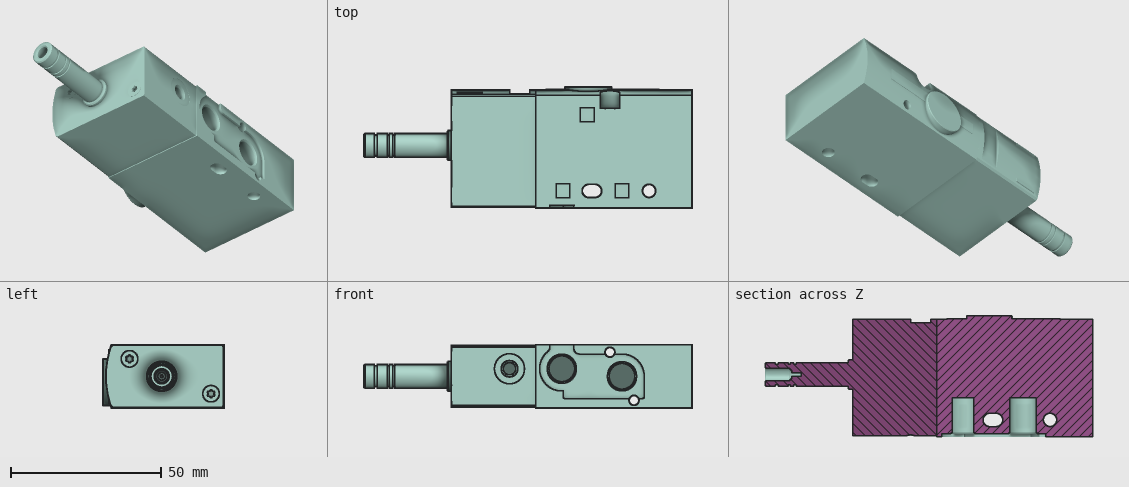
import cadquery as cq
import math


BODY_LENGTH = 52.0
BODY_HEIGHT = 21.1
BACK_CORNER_Y = 37.5
BACK_CROWN_Y = 39.31
BACK_SAGITTA = BACK_CROWN_Y - BACK_CORNER_Y
BACK_RADIUS = ((BODY_HEIGHT / 2) ** 2 + BACK_SAGITTA**2) / (2 * BACK_SAGITTA)

BOSS_DIAMETER = 15.6
BOSS_END_Y = 40.4
BOSS_X = 17.5
BOSS_Z = -2.0
BOSS_CHAMFER = 0.2

STRIP_START_X = 3.5
STRIP_LENGTH = 37.5
STRIP_HALF_HEIGHT = 2.3
STRIP_Y = 39.42

PORT_DIAMETER = 8.57
PORT_MOUTH_DIAMETER = 9.7
PORT_DEPTH = 12.0
LEFT_PORT_X = 8.7
PORT_SPACING = 20.0
RIGHT_PORT_X = LEFT_PORT_X + PORT_SPACING
LEFT_PORT_Z = 2.5
RIGHT_PORT_Z = 0.0

RECESS_DEPTH = 1.0
RECESS_RADIUS = 7.4
RECESS_TAB_WIDTH = 8.0
RECESS_STEP_X = LEFT_PORT_X + 0.4
RECESS_TAB_FILLET = 1.8
RECESS_CORNER_FILLET = 0.6

FLANGE_HOLE_DIAMETER = 3.2
FLANGE_HOLE_Z = 8.0
UPPER_HOLE_X = 24.7
LOWER_HOLE_X = UPPER_HOLE_X + 8.0
SEAT_WIDTH = 6.4
SEAT_Y = 33.1

MOUNT_DIAMETER = 4.3
MOUNT_Y = 5.7
MOUNT_SLOT_LENGTH = 6.4
MOUNT_SLOT_X = 18.7
MOUNT_HOLE_X = MOUNT_SLOT_X + 19.0

LABEL_SIZE = 4.6
LABEL_DEPTH = 0.1
LABEL_CENTRES = [(9.1, MOUNT_Y), (28.7, MOUNT_Y), (17.2, 31.0)]

HOUSING_LENGTH = 28.0
HOUSING_INSET = 0.3
HOUSING_TOP_Z = BODY_HEIGHT / 2 - HOUSING_INSET
HOUSING_CHAMFER_Z = 0.6
FRONT_CHAMFER_Y = 0.25
TOP_END_Y = 37.1

GROOVE_FLOOR_Y = 38.0
GROOVE_START_X = -8.6
GROOVE_WIDTH = 6.6

PAD_START_X = -26.0
PAD_LENGTH = 8.2
PAD_HALF_HEIGHT = 8.9
PAD_Y = 38.42

PILOT_PORT_X = -8.7
PILOT_PORT_Z = LEFT_PORT_Z
PILOT_PORT_DIAMETER = 4.13
PILOT_PORT_MOUTH_DIAMETER = 5.5
PILOT_PORT_DEPTH = 6.0
SPOT_FACE_DIAMETER = 10.0
SPOT_FACE_DEPTH = 0.1

TUBE_Y = 20.8
TUBE_LENGTH = 29.1
TUBE_DIAMETER = 8.0
TUBE_TIP_CHAMFER = 0.4
TUBE_GROOVE_DIAMETER = 7.1
TUBE_GROOVES = [(3.5, 0.9), (7.8, 0.6), (9.6, 0.7)]
FLANGE_DIAMETER = 10.0
FLANGE_THICKNESS = 1.4
FLANGE_CHAMFER = 0.4
BORE_MOUTH_DIAMETER = 5.0
BORE_DIAMETER = 4.13
BORE_DEPTH = 8.0
BORE_SEAT_DIAMETER = 2.6
BORE_SEAT_DEPTH = 8.8
BLEED_DIAMETER = 0.9
BLEED_DEPTH = 12.0

SCREW_CENTRES = [(31.5, 5.8), (4.4, -5.8)]
HEAD_DIAMETER = 5.5
HEAD_SEAT_DEPTH = 3.0
HEAD_STAND_OUT = 0.1
SHANK_DIAMETER = 3.0
SHANK_END_X = 8.0
SOCKET_DIAMETER = 2.6
SOCKET_HUB_DIAMETER = 2.0
SOCKET_LOBES = 6
SOCKET_LOBE_DIAMETER = 0.7
SOCKET_DEPTH = 1.3

HOUSING_END_X = -HOUSING_LENGTH
TIP_X = HOUSING_END_X - TUBE_LENGTH


def crown_y(z):
    """Y of the crowned back face at height z."""
    return BACK_CROWN_Y - BACK_RADIUS + math.sqrt(BACK_RADIUS**2 - z**2)


def cylinder_y(x, z, diameter, start_y, end_y):
    circle = cq.Workplane("XZ", origin=(x, start_y, z)).circle(diameter / 2)
    return circle.extrude(start_y - end_y)


def cylinder_x(y, z, diameter, start_x, end_x):
    circle = cq.Workplane("YZ", origin=(start_x, y, z)).circle(diameter / 2)
    return circle.extrude(end_x - start_x)


def countersunk_hole_y(x, z, diameter, mouth_diameter, start_y, depth):
    """Blind hole along +Y with a 45 degree countersink at its mouth."""
    sink = (mouth_diameter - diameter) / 2
    outline = [
        (0, start_y),
        (mouth_diameter / 2, start_y),
        (diameter / 2, start_y + sink),
        (diameter / 2, start_y + depth),
        (0, start_y + depth),
    ]
    hole = cq.Workplane("XY").polyline(outline).close().revolve(360, (0, 0, 0), (0, 1, 0))
    return hole.translate((x, 0, z))


def gasket_recess():
    tab_left = LEFT_PORT_X - RECESS_TAB_WIDTH / 2
    tab_right = LEFT_PORT_X + RECESS_TAB_WIDTH / 2
    tab_foot_z = LEFT_PORT_Z + math.sqrt(RECESS_RADIUS**2 - (RECESS_TAB_WIDTH / 2) ** 2)
    step_z = LEFT_PORT_Z - math.sqrt(RECESS_RADIUS**2 - (RECESS_STEP_X - LEFT_PORT_X) ** 2)
    diagonal = RECESS_RADIUS * math.sqrt(0.5)
    right_x = RIGHT_PORT_X + RECESS_RADIUS
    outline = (
        cq.Workplane("XZ")
        .moveTo(tab_left, BODY_HEIGHT / 2)
        .lineTo(tab_right, BODY_HEIGHT / 2)
        .lineTo(tab_right, RECESS_RADIUS)
        .lineTo(RIGHT_PORT_X, RECESS_RADIUS)
        .threePointArc((RIGHT_PORT_X + diagonal, diagonal), (right_x, RIGHT_PORT_Z))
        .lineTo(right_x, -RECESS_RADIUS)
        .lineTo(RECESS_STEP_X, -RECESS_RADIUS)
        .lineTo(RECESS_STEP_X, step_z)
        .threePointArc((LEFT_PORT_X - RECESS_RADIUS, LEFT_PORT_Z), (tab_left, tab_foot_z))
        .close()
    )
    recess = outline.extrude(-RECESS_DEPTH)
    tab_corners = [(tab_right, RECESS_RADIUS), (tab_left, tab_foot_z)]
    for x, z in tab_corners:
        corner = cq.selectors.NearestToPointSelector((x, RECESS_DEPTH / 2, z))
        recess = recess.edges("|Y").edges(corner).fillet(RECESS_TAB_FILLET)
    for x in (right_x, RECESS_STEP_X):
        corner = cq.selectors.NearestToPointSelector((x, RECESS_DEPTH / 2, -RECESS_RADIUS))
        recess = recess.edges("|Y").edges(corner).fillet(RECESS_CORNER_FILLET)
    return recess


def screw_seat():
    """U-shaped pocket around the upper mounting hole, open to the top and back."""
    depth = BOSS_END_Y - SEAT_Y
    height = BODY_HEIGHT / 2 - FLANGE_HOLE_Z
    round_end = cylinder_y(UPPER_HOLE_X, FLANGE_HOLE_Z, SEAT_WIDTH, SEAT_Y, BOSS_END_Y)
    opening = cq.Workplane("XY").box(SEAT_WIDTH, depth, height, centered=(True, False, False))
    return round_end.union(opening.translate((UPPER_HOLE_X, SEAT_Y, FLANGE_HOLE_Z)))


def back_pad(start_x, length, half_height, face_y):
    """Flat-faced pad on the crowned back face, centred on mid height."""
    pad = cq.Workplane("XY").box(
        length, face_y - TOP_END_Y, 2 * half_height, centered=(False, False, True)
    )
    return pad.translate((start_x, TOP_END_Y, 0))


def screw_holes(diameter, start_x, end_x):
    holes = cq.Workplane("YZ", origin=(start_x, 0, 0)).pushPoints(SCREW_CENTRES)
    return holes.circle(diameter / 2).extrude(end_x - start_x)


def make_body():
    half = BODY_HEIGHT / 2
    body = (
        cq.Workplane("YZ")
        .moveTo(0, -half)
        .lineTo(BACK_CORNER_Y, -half)
        .threePointArc((BACK_CROWN_Y, 0), (BACK_CORNER_Y, half))
        .lineTo(0, half)
        .close()
        .extrude(BODY_LENGTH)
    )
    body = body.union(back_pad(STRIP_START_X, STRIP_LENGTH, STRIP_HALF_HEIGHT, STRIP_Y))
    boss = cylinder_y(BOSS_X, BOSS_Z, BOSS_DIAMETER, TOP_END_Y, BOSS_END_Y)
    body = body.union(boss.faces(">Y").chamfer(BOSS_CHAMFER))
    body = body.cut(gasket_recess())
    for x, z in [(LEFT_PORT_X, LEFT_PORT_Z), (RIGHT_PORT_X, RIGHT_PORT_Z)]:
        port = countersunk_hole_y(x, z, PORT_DIAMETER, PORT_MOUTH_DIAMETER, RECESS_DEPTH, PORT_DEPTH)
        body = body.cut(port)
    for x, z in [(UPPER_HOLE_X, FLANGE_HOLE_Z), (LOWER_HOLE_X, -FLANGE_HOLE_Z)]:
        body = body.cut(cylinder_y(x, z, FLANGE_HOLE_DIAMETER, 0, BOSS_END_Y))
    body = body.cut(screw_seat())

    base = cq.Workplane("XY", origin=(0, MOUNT_Y, -half))
    body = body.cut(base.center(MOUNT_HOLE_X, 0).circle(MOUNT_DIAMETER / 2).extrude(BODY_HEIGHT))
    slot = base.center(MOUNT_SLOT_X, 0).slot2D(MOUNT_SLOT_LENGTH, MOUNT_DIAMETER)
    body = body.cut(slot.extrude(BODY_HEIGHT))

    labels = cq.Workplane("XY", origin=(0, 0, half)).pushPoints(LABEL_CENTRES)
    body = body.cut(labels.rect(LABEL_SIZE, LABEL_SIZE).extrude(-LABEL_DEPTH))
    return body.cut(screw_holes(SHANK_DIAMETER, 0, SHANK_END_X))


def housing_block():
    front_y = HOUSING_INSET
    shoulder_z = HOUSING_TOP_Z - HOUSING_CHAMFER_Z
    return (
        cq.Workplane("YZ")
        .moveTo(front_y, -shoulder_z)
        .lineTo(front_y + FRONT_CHAMFER_Y, -HOUSING_TOP_Z)
        .lineTo(TOP_END_Y, -HOUSING_TOP_Z)
        .lineTo(crown_y(shoulder_z), -shoulder_z)
        .threePointArc((BACK_CROWN_Y, 0), (crown_y(shoulder_z), shoulder_z))
        .lineTo(TOP_END_Y, HOUSING_TOP_Z)
        .lineTo(front_y + FRONT_CHAMFER_Y, HOUSING_TOP_Z)
        .lineTo(front_y, shoulder_z)
        .close()
        .extrude(-HOUSING_LENGTH)
    )


def armature_tube():
    """Grooved tube on a flange, with a stepped bore from its tip."""
    radius = TUBE_DIAMETER / 2
    flange_radius = FLANGE_DIAMETER / 2
    flange_x = HOUSING_END_X - FLANGE_THICKNESS
    outline = [
        (TIP_X, 0),
        (TIP_X, radius - TUBE_TIP_CHAMFER),
        (TIP_X + TUBE_TIP_CHAMFER, radius),
    ]
    for start, width in TUBE_GROOVES:
        outline += [
            (TIP_X + start, radius),
            (TIP_X + start, TUBE_GROOVE_DIAMETER / 2),
            (TIP_X + start + width, TUBE_GROOVE_DIAMETER / 2),
            (TIP_X + start + width, radius),
        ]
    outline += [
        (flange_x, radius),
        (flange_x, flange_radius - FLANGE_CHAMFER),
        (flange_x + FLANGE_CHAMFER, flange_radius),
        (HOUSING_END_X, flange_radius),
        (HOUSING_END_X, 0),
    ]
    bore = [
        (TIP_X, 0),
        (TIP_X, BORE_MOUTH_DIAMETER / 2),
        (TIP_X + (BORE_MOUTH_DIAMETER - BORE_DIAMETER) / 2, BORE_DIAMETER / 2),
        (TIP_X + BORE_DEPTH, BORE_DIAMETER / 2),
        (TIP_X + BORE_SEAT_DEPTH, BORE_SEAT_DIAMETER / 2),
        (TIP_X + BORE_SEAT_DEPTH, BLEED_DIAMETER / 2),
        (TIP_X + BLEED_DEPTH, BLEED_DIAMETER / 2),
        (TIP_X + BLEED_DEPTH, 0),
    ]
    axis = ((0, 0, 0), (1, 0, 0))
    tube = cq.Workplane("XY").polyline(outline).close().revolve(360, *axis)
    tube = tube.cut(cq.Workplane("XY").polyline(bore).close().revolve(360, *axis))
    return tube.translate((0, TUBE_Y, 0))


def make_housing():
    housing = housing_block()
    housing = housing.union(back_pad(PAD_START_X, PAD_LENGTH, PAD_HALF_HEIGHT, PAD_Y))
    groove = cq.Workplane("XY").box(
        GROOVE_WIDTH, BOSS_END_Y - GROOVE_FLOOR_Y, BODY_HEIGHT, centered=(False, False, True)
    )
    housing = housing.cut(groove.translate((GROOVE_START_X, GROOVE_FLOOR_Y, 0)))

    spot_y = HOUSING_INSET + SPOT_FACE_DEPTH
    housing = housing.cut(
        cylinder_y(PILOT_PORT_X, PILOT_PORT_Z, SPOT_FACE_DIAMETER, HOUSING_INSET, spot_y)
    )
    port = countersunk_hole_y(
        PILOT_PORT_X, PILOT_PORT_Z, PILOT_PORT_DIAMETER, PILOT_PORT_MOUTH_DIAMETER, spot_y, PILOT_PORT_DEPTH
    )
    housing = housing.cut(port)

    housing = housing.cut(screw_holes(HEAD_DIAMETER, HOUSING_END_X, HOUSING_END_X + HEAD_SEAT_DEPTH))
    housing = housing.cut(screw_holes(SHANK_DIAMETER, HOUSING_END_X, 0))
    return housing.union(armature_tube())


def make_screw(y, z):
    """Cylinder-head screw with a six-lobe socket, head standing slightly out of the housing."""
    head_x = HOUSING_END_X - HEAD_STAND_OUT
    seat_x = HOUSING_END_X + HEAD_SEAT_DEPTH
    screw = cylinder_x(y, z, HEAD_DIAMETER, head_x, seat_x)
    screw = screw.union(cylinder_x(y, z, SHANK_DIAMETER, seat_x, SHANK_END_X))
    socket_end_x = head_x + SOCKET_DEPTH
    socket = cylinder_x(y, z, SOCKET_HUB_DIAMETER, head_x, socket_end_x)
    lobe_offset = (SOCKET_DIAMETER - SOCKET_LOBE_DIAMETER) / 2
    for i in range(SOCKET_LOBES):
        angle = math.pi / 2 + i * 2 * math.pi / SOCKET_LOBES
        lobe_y = y + lobe_offset * math.cos(angle)
        lobe_z = z + lobe_offset * math.sin(angle)
        lobe = cylinder_x(lobe_y, lobe_z, SOCKET_LOBE_DIAMETER, head_x, socket_end_x)
        socket = socket.union(lobe)
    return screw.cut(socket)


body = make_body()
housing = make_housing()
screws = [make_screw(y, z) for y, z in SCREW_CENTRES]

result = cq.Compound.makeCompound([body.val(), housing.val(), *[screw.val() for screw in screws]])